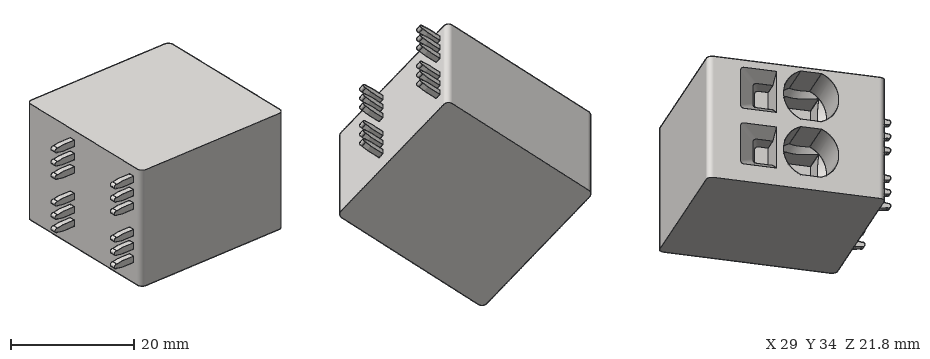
import cadquery as cq
import math

body_length_x = 29.0
body_height = 21.8
overall_y = 34.03
pin_length = 4.05
body_depth_y = overall_y - pin_length
corner_radius = 1.0

row_pitch = 10.0
top_row_drop = 5.0
top_row_z = body_height - top_row_drop
row_heights = [top_row_z, top_row_z - row_pitch]

pin_columns_x = [11.5, 26.5]
pin_pitch_z = row_pitch / 4
pin_thickness = 1.02
pin_height = 1.2
pin_row_offset_z = 0.15
pin_taper_length = 1.1
pin_nose_length = 0.55
pin_nose_height = 0.78

bore_y = 12.6
bore_radius = 4.65
bore_height = 8.65
bore_depth = 6.8
funnel_length = 0.92
funnel_half_angle = 45.0
funnel_tilt = 15.0
funnel_apex_y = 14.77
chamber_depth = 4.1
chamber_height = 6.57
chamber_low_y = 9.25
window_high_y = 14.6

pocket_low_y = 18.4
pocket_mouth_high_y = 24.5
pocket_throat_high_y = 21.78
pocket_floor_high_y = 20.72
pocket_mouth_height = 7.4
pocket_throat_height = 4.35
pocket_mouth_corner = 0.58
pocket_throat_corner = 0.68
pocket_taper_depth = 2.2
pocket_lower_depth = 2.72


def box_between(x_range, y_range, z_range):
    """Box spanning the given (low, high) ranges."""
    corner = (x_range[0], y_range[0], z_range[0])
    sizes = [high - low for low, high in (x_range, y_range, z_range)]
    return cq.Workplane("XY").box(*sizes, centered=False).translate(corner)


def make_body():
    block = cq.Workplane("XY").box(body_length_x, body_depth_y, body_height, centered=False)
    return block.edges("|Z").fillet(corner_radius)


def make_pin(x, z):
    """Flat pin along -Y with tapered sides and a rounded nose, sunk slightly into the body."""
    root = corner_radius
    taper_start = -(pin_length - pin_nose_length - pin_taper_length)
    nose_start = -(pin_length - pin_nose_length)
    half = pin_height / 2
    nose_half = pin_nose_height / 2
    return (
        cq.Workplane("YZ", origin=(x - pin_thickness / 2, 0, z))
        .moveTo(root, -half)
        .lineTo(taper_start, -half)
        .lineTo(nose_start, -nose_half)
        .threePointArc((-pin_length, 0), (nose_start, nose_half))
        .lineTo(taper_start, half)
        .lineTo(root, half)
        .close()
        .extrude(pin_thickness)
    )


def make_funnel_cone():
    """Cone opening towards -X, its axis leaning to +Y as it goes deeper.

    The apex is placed so that the +Y side of the cone meets the bore wall at the bore depth.
    """
    tilt = math.radians(funnel_tilt)
    half_angle = math.radians(funnel_half_angle)
    apex_x = bore_depth + (bore_y + bore_radius - funnel_apex_y) / math.tan(half_angle - tilt)
    cone_height = 2 * apex_x
    apex = cq.Vector(apex_x, funnel_apex_y, 0)
    axis = cq.Vector(math.cos(tilt), math.sin(tilt), 0)
    base_radius = cone_height * math.tan(half_angle)
    return cq.Workplane(cq.Solid.makeCone(base_radius, 0, cone_height, apex - axis * cone_height, axis))


def make_wire_entry():
    """Wire-entry cavity centred on Z = 0, opening at X = 0."""
    throat_x = bore_depth + funnel_length
    end_x = throat_x + chamber_depth
    bore = cq.Workplane("YZ", origin=(0, bore_y, 0)).circle(bore_radius).extrude(end_x)
    bore_low_y = bore_y - bore_radius
    bore_high_y = bore_y + bore_radius
    flats = box_between((0, end_x), (bore_low_y, bore_high_y), (-bore_height / 2, bore_height / 2))

    chamber_z = (-chamber_height / 2, chamber_height / 2)
    window = box_between((bore_depth, end_x), (chamber_low_y, window_high_y), chamber_z).intersect(bore)
    chamber = box_between((throat_x, end_x), (chamber_low_y, bore_high_y), chamber_z).intersect(bore)
    return bore.intersect(flats).intersect(make_funnel_cone()).union(window).union(chamber)


def pocket_section(x, high_y, height, corner):
    """Rectangle in the plane at x with its two +Y corners rounded."""
    half = height / 2
    diagonal = corner * math.sqrt(0.5)
    centre_y = high_y - corner
    centre_z = half - corner
    return (
        cq.Workplane("YZ", origin=(x, 0, 0))
        .moveTo(pocket_low_y, -half)
        .lineTo(centre_y, -half)
        .threePointArc((centre_y + diagonal, -centre_z - diagonal), (high_y, -centre_z))
        .lineTo(high_y, centre_z)
        .threePointArc((centre_y + diagonal, centre_z + diagonal), (centre_y, half))
        .lineTo(pocket_low_y, half)
        .close()
        .val()
    )


def make_release_pocket():
    """Tapered pocket with a steeper lower part, centred on Z = 0 and opening at X = 0."""
    mouth = pocket_section(0, pocket_mouth_high_y, pocket_mouth_height, pocket_mouth_corner)
    throat = pocket_section(
        pocket_taper_depth, pocket_throat_high_y, pocket_throat_height, pocket_throat_corner
    )
    floor = pocket_section(
        pocket_taper_depth + pocket_lower_depth,
        pocket_floor_high_y, pocket_throat_height, pocket_throat_corner,
    )
    upper = cq.Workplane(cq.Solid.makeLoft([mouth, throat], True))
    lower = cq.Workplane(cq.Solid.makeLoft([throat, floor], True))
    return upper.union(lower)


result = make_body()
wire_entry = make_wire_entry()
release_pocket = make_release_pocket()
for row_z in row_heights:
    result = result.cut(wire_entry.translate((0, 0, row_z)))
    result = result.cut(release_pocket.translate((0, 0, row_z)))
    for pin_x in pin_columns_x:
        for step in (-1, 0, 1):
            result = result.union(make_pin(pin_x, row_z + pin_row_offset_z + step * pin_pitch_z))